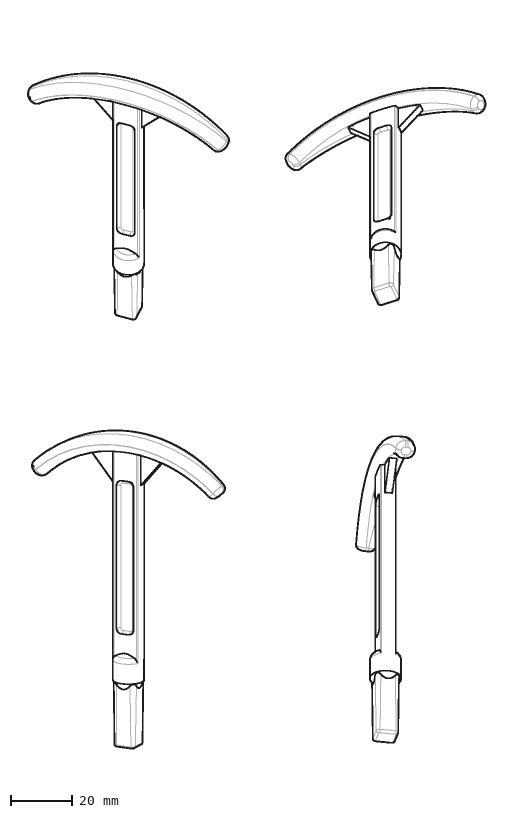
import cadquery as cq
import math

TOTAL_HEIGHT = 105.8

GRIP_OUTER_RADIUS = 50.0
GRIP_THICKNESS = 5.9
GRIP_MIDDLE_WIDTH = 9.7
GRIP_HALF_ANGLE = 45.0
GRIP_EDGE_FILLET = 2.91
GRIP_END_FILLET = 1.7

BAR_DIAMETER = 10.3
FLAT_THICKNESS = 5.3
SHAFT_EDGE_FILLET = 0.5
POCKET_WIDTH = 6.1
POCKET_BOTTOM = 38.3
POCKET_TOP = 90.2
POCKET_DEPTH = 1.1
POCKET_CORNER_RADIUS = 1.8
POCKET_FLOOR_FILLET = 1.0

GUSSET_THICKNESS = 2.4
GUSSET_BOTTOM = 89.1
GUSSET_REACH = 12.6
GUSSET_REACH_HEIGHT = 97.9

COLLAR_BOTTOM = 22.2
COLLAR_SHOULDER = 30.2
COLLAR_SHOULDER_FILLET = 2.1
COLLAR_UPPER_SLOPE = 34.0
COLLAR_LOWER_SLOPE = 63.0
COLLAR_CONE_END_RADIUS = 2.5

SHANK_TIP_WIDTH = 7.4
SHANK_TIP_CORNER = 1.1
SHANK_BASE_WIDTH = 8.0
SHANK_BASE_CORNER = 1.6
SHANK_TIP_FILLET = 0.8

BAR_RADIUS = BAR_DIAMETER / 2
GRIP_INNER_RADIUS = GRIP_OUTER_RADIUS - GRIP_THICKNESS
GRIP_MID_RADIUS = GRIP_OUTER_RADIUS - GRIP_THICKNESS / 2
GRIP_CENTER_Z = TOTAL_HEIGHT - GRIP_OUTER_RADIUS
SHAFT_TOP = TOTAL_HEIGHT - GRIP_THICKNESS / 2


def grip_point(radius, degrees):
    """Point in the XZ plane at an angle from vertical about the grip center."""
    angle = math.radians(degrees)
    return radius * math.sin(angle), GRIP_CENTER_Z + radius * math.cos(angle)


def make_grip():
    bent_bar = (
        cq.Workplane("XZ")
        .moveTo(*grip_point(GRIP_OUTER_RADIUS, -GRIP_HALF_ANGLE))
        .threePointArc((0, TOTAL_HEIGHT), grip_point(GRIP_OUTER_RADIUS, GRIP_HALF_ANGLE))
        .lineTo(*grip_point(GRIP_INNER_RADIUS, GRIP_HALF_ANGLE))
        .threePointArc(
            (0, TOTAL_HEIGHT - GRIP_THICKNESS),
            grip_point(GRIP_INNER_RADIUS, -GRIP_HALF_ANGLE),
        )
        .close()
        .extrude(GRIP_MIDDLE_WIDTH, both=True)
    )
    end_x = grip_point(GRIP_OUTER_RADIUS, GRIP_HALF_ANGLE)[0]
    end_y = GRIP_THICKNESS / 2
    plan = (
        cq.Workplane("XY")
        .moveTo(-end_x, -end_y)
        .threePointArc((0, -GRIP_MIDDLE_WIDTH / 2), (end_x, -end_y))
        .lineTo(end_x, end_y)
        .threePointArc((0, GRIP_MIDDLE_WIDTH / 2), (-end_x, end_y))
        .close()
        .extrude(TOTAL_HEIGHT)
    )
    grip = bent_bar.intersect(plan)
    long_edges = [e for e in grip.edges().vals() if e.Length() > GRIP_MID_RADIUS]
    grip = grip.newObject(long_edges).fillet(GRIP_EDGE_FILLET)
    return grip.faces("<X or >X").edges().fillet(GRIP_END_FILLET)


def make_shaft():
    length = SHAFT_TOP - COLLAR_BOTTOM
    round_bar = (
        cq.Workplane("XY")
        .workplane(offset=COLLAR_BOTTOM)
        .circle(BAR_RADIUS)
        .extrude(length)
    )
    slab = (
        cq.Workplane("XY")
        .workplane(offset=COLLAR_BOTTOM)
        .rect(BAR_DIAMETER, FLAT_THICKNESS)
        .extrude(length)
    )
    shaft = round_bar.intersect(slab)
    return shaft.faces("<Y or >Y").edges("|Z").fillet(SHAFT_EDGE_FILLET)


def make_pocket_pair():
    front_flat = -FLAT_THICKNESS / 2
    height = POCKET_TOP - POCKET_BOTTOM
    pocket = (
        cq.Workplane("XY")
        .box(POCKET_WIDTH, POCKET_DEPTH, height)
        .edges("|Y")
        .fillet(POCKET_CORNER_RADIUS)
        .faces(">Y")
        .edges()
        .fillet(POCKET_FLOOR_FILLET)
        .translate((0, front_flat + POCKET_DEPTH / 2, POCKET_BOTTOM + height / 2))
    )
    return pocket.union(pocket.mirror("XZ"))


def make_gusset():
    return (
        cq.Workplane("XZ")
        .moveTo(-BAR_RADIUS, GUSSET_BOTTOM)
        .lineTo(BAR_RADIUS, GUSSET_BOTTOM)
        .lineTo(GUSSET_REACH, GUSSET_REACH_HEIGHT)
        .lineTo(0, SHAFT_TOP)
        .lineTo(-GUSSET_REACH, GUSSET_REACH_HEIGHT)
        .close()
        .extrude(GUSSET_THICKNESS / 2, both=True)
    )


def make_collar():
    cone_depth = BAR_RADIUS - COLLAR_CONE_END_RADIUS
    top = COLLAR_SHOULDER + cone_depth * math.tan(math.radians(COLLAR_UPPER_SLOPE))
    bottom = COLLAR_BOTTOM - cone_depth * math.tan(math.radians(COLLAR_LOWER_SLOPE))
    half_section = [
        (0, bottom),
        (COLLAR_CONE_END_RADIUS, bottom),
        (BAR_RADIUS, COLLAR_BOTTOM),
        (BAR_RADIUS, COLLAR_SHOULDER),
        (COLLAR_CONE_END_RADIUS, top),
        (0, top),
    ]
    collar = cq.Workplane("XZ").polyline(half_section).close().revolve(360, (0, 0), (0, 1))
    shoulder_edge = cq.selectors.NearestToPointSelector((0, 0, COLLAR_SHOULDER))
    return collar.edges(shoulder_edge).fillet(COLLAR_SHOULDER_FILLET)


def make_shank():
    tip = cq.Sketch().rect(SHANK_TIP_WIDTH, SHANK_TIP_WIDTH).vertices().fillet(SHANK_TIP_CORNER)
    base = cq.Sketch().rect(SHANK_BASE_WIDTH, SHANK_BASE_WIDTH).vertices().fillet(SHANK_BASE_CORNER)
    shank = (
        cq.Workplane("XY")
        .placeSketch(tip, base.moved(cq.Location(cq.Vector(0, 0, COLLAR_BOTTOM))))
        .loft()
    )
    return shank.faces("<Z").edges().fillet(SHANK_TIP_FILLET)


result = (
    make_shaft()
    .cut(make_pocket_pair())
    .union(make_gusset())
    .union(make_grip())
    .union(make_collar())
    .union(make_shank())
)